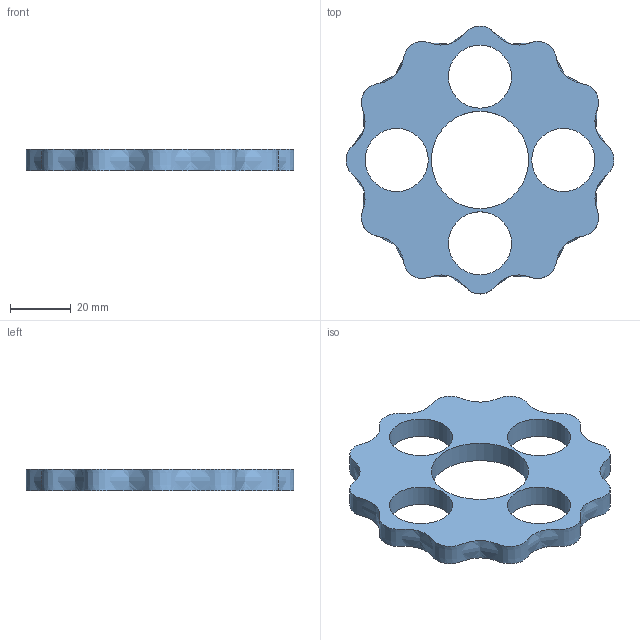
import cadquery as cq
import math

THICKNESS = 7.0
LOBE_COUNT = 12
RING_PIN_COUNT = LOBE_COUNT + 1
ECCENTRICITY = 2.31
RING_PIN_CIRCLE_RADIUS = 50.0
PIN_DIAMETER = 16.2
RING_PIN_RADIUS = PIN_DIAMETER / 2

BEARING_BORE_DIAMETER = 32.1
OUTPUT_HOLE_DIAMETER = PIN_DIAMETER + 2 * ECCENTRICITY
OUTPUT_HOLE_COUNT = 4
OUTPUT_HOLE_CIRCLE_RADIUS = 27.5

POINTS_PER_LOBE = 16


def cycloid_point(angle):
    """Point of the disc outline, with a lobe crest on the +X axis.

    The contact normal is tilted by the rolling of the disc inside the ring of pins.
    """
    roll = LOBE_COUNT * angle
    tilt = math.atan2(
        math.sin(roll),
        math.cos(roll) + RING_PIN_CIRCLE_RADIUS / (ECCENTRICITY * RING_PIN_COUNT),
    )
    x = (
        RING_PIN_CIRCLE_RADIUS * math.cos(angle)
        - RING_PIN_RADIUS * math.cos(angle + tilt)
        + ECCENTRICITY * math.cos(RING_PIN_COUNT * angle)
    )
    y = (
        RING_PIN_CIRCLE_RADIUS * math.sin(angle)
        - RING_PIN_RADIUS * math.sin(angle + tilt)
        + ECCENTRICITY * math.sin(RING_PIN_COUNT * angle)
    )
    return (x, y)


def lobed_disc():
    """Solid disc bounded by a closed smooth curve through the cycloid."""
    point_count = LOBE_COUNT * POINTS_PER_LOBE
    step = 2 * math.pi / point_count
    outline = [cycloid_point(index * step) for index in range(point_count)]
    return cq.Workplane("XY").spline(outline, periodic=True).close().extrude(THICKNESS)


def cut_bearing_bore(disc):
    """Central through bore for the eccentric bearing."""
    top_plane = disc.faces(">Z").workplane(origin=(0, 0, THICKNESS))
    return top_plane.hole(BEARING_BORE_DIAMETER)


def cut_output_holes(disc):
    """Ring of through holes for the output pins, starting on the +X axis."""
    top_plane = disc.faces(">Z").workplane(origin=(0, 0, THICKNESS))
    hole_centers = top_plane.polarArray(OUTPUT_HOLE_CIRCLE_RADIUS, 0, 360, OUTPUT_HOLE_COUNT)
    return hole_centers.hole(OUTPUT_HOLE_DIAMETER)


bored_disc = cut_bearing_bore(lobed_disc())
result = cut_output_holes(bored_disc)